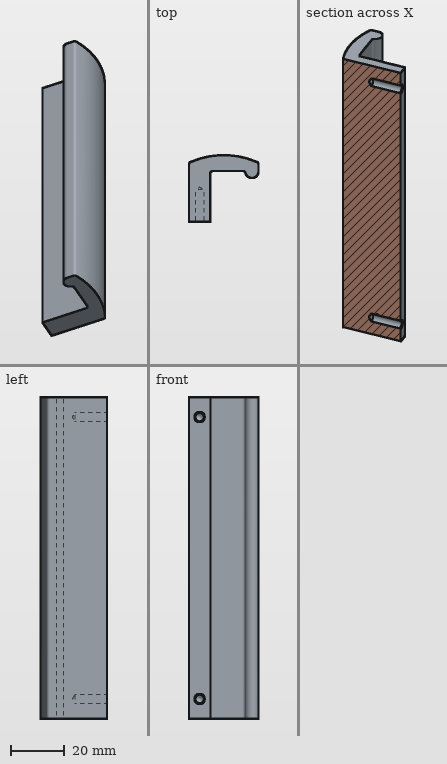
import cadquery as cq
import math

length = 120.0
width = 26.0
height = 25.0

leg_width = 8.0
underside_y = 19.0
shoulder_y = 22.1
shoulder_radius = 1.2
inner_corner_radius = 1.0
bead_radius = 2.5
bead_center_x = width - bead_radius
bead_center_y = 18.8
bead_blend_radius = 1.0

hole_diameter = 3.2
hole_mouth_diameter = 3.8
hole_depth = 12.0
hole_end_inset = 7.5
drill_point_angle = 118.0


def make_profile_body():
    blend_center_y = underside_y - bead_blend_radius
    center_distance = bead_radius + bead_blend_radius
    blend_rise = bead_center_y - blend_center_y
    blend_center_x = bead_center_x - math.sqrt(center_distance**2 - blend_rise**2)
    contact_angle = math.asin(blend_rise / center_distance)
    contact = (
        bead_center_x - bead_radius * math.cos(contact_angle),
        bead_center_y - bead_radius * math.sin(contact_angle),
    )
    blend_mid_angle = (contact_angle + math.pi / 2) / 2
    blend_middle = (
        blend_center_x + bead_blend_radius * math.cos(blend_mid_angle),
        blend_center_y + bead_blend_radius * math.sin(blend_mid_angle),
    )
    body = (
        cq.Workplane("XY")
        .moveTo(0, 0)
        .lineTo(leg_width, 0)
        .lineTo(leg_width, underside_y)
        .lineTo(blend_center_x, underside_y)
        .threePointArc(blend_middle, contact)
        .threePointArc((bead_center_x, bead_center_y - bead_radius), (width, bead_center_y))
        .lineTo(width, shoulder_y)
        .threePointArc((width / 2, height), (0, shoulder_y))
        .close()
        .extrude(length)
    )
    inner_corner = cq.selectors.NearestToPointSelector((leg_width, underside_y, length / 2))
    body = body.edges("|Z").edges(inner_corner).fillet(inner_corner_radius)
    for shoulder_x in (0, width):
        shoulder = cq.selectors.NearestToPointSelector((shoulder_x, shoulder_y, length / 2))
        body = body.edges("|Z").edges(shoulder).fillet(shoulder_radius)
    return body


def make_hole_cutter(z):
    radius = hole_diameter / 2
    mouth_radius = hole_mouth_diameter / 2
    countersink_depth = mouth_radius - radius
    point_depth = radius / math.tan(math.radians(drill_point_angle / 2))
    half_section = [
        (0, 0),
        (mouth_radius, 0),
        (radius, countersink_depth),
        (radius, hole_depth),
        (0, hole_depth + point_depth),
    ]
    cutter = cq.Workplane("XY").polyline(half_section).close().revolve(360, (0, 0), (0, 1))
    return cutter.translate((leg_width / 2, 0, z))


result = make_profile_body()
for hole_z in (hole_end_inset, length - hole_end_inset):
    result = result.cut(make_hole_cutter(hole_z))